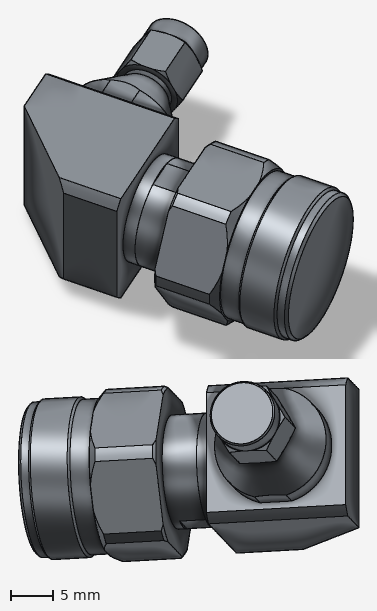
import cadquery as cq
import math


OVERALL_LENGTH = 39.7

BLOCK_SIDE = 16.95
BLOCK_HEIGHT = 16.87
BLOCK_HALF = BLOCK_SIDE / 2
CORNER_CUT = 9.95
CORNER_RADIUS = 11.2

BARREL_RADIUS = 6.8
FLAT_HALF_WIDTH = 6.5
COLLAR_LENGTH = 1.6

LARGE_START = BLOCK_HALF + COLLAR_LENGTH
LARGE_FLAT_LENGTH = 3.18
LARGE_NECK_LENGTH = 4.15
LARGE_NUT_LENGTH = 8.25
LARGE_NUT_FLATS = 18.85
LARGE_NUT_RADIUS = 10.45
LARGE_NUT_BACK_CHAMFER = 0.3
LARGE_NUT_FRONT_CHAMFER = 0.9
SLEEVE_RADIUS = 9.25
BAND_DIAMETER = 19.1
BAND_RADIUS = BAND_DIAMETER / 2
BAND_BEVEL = 0.28
BAND_OFFSET = 2.4
BAND_WIDTH = 5.05
SLEEVE_END_CHAMFER = 0.35
LARGE_END = OVERALL_LENGTH - BLOCK_HALF

SMALL_START = BLOCK_HALF
SMALL_BARREL_LENGTH = 2.98
SMALL_CONE_LENGTH = 5.3
SMALL_NECK_RADIUS = 3.2
SMALL_NECK_LENGTH = 0.7
SMALL_NUT_FLATS = 7.85
SMALL_NUT_LENGTH = 6.05
SMALL_NUT_CHAMFER = 0.3
SMALL_NUT_CHAMFER_ANGLE = 30.0
STUB_RADIUS = SMALL_NUT_FLATS / 2
STUB_CHAMFER = 0.2
SMALL_END = 26.2

LARGE_AXIS = cq.Plane(origin=(0, 0, 0), xDir=(0, 1, 0), normal=(1, 0, 0))
SMALL_AXIS = cq.Plane(origin=(0, 0, 0), xDir=(1, 0, 0), normal=(0, 1, 0))


def turned(axis, profile):
    """Solid of revolution about an axis, from (radius, distance along the axis) points."""
    first = (0, profile[0][1])
    last = (0, profile[-1][1])
    section = cq.Plane(origin=axis.origin, xDir=axis.xDir, normal=axis.xDir.cross(axis.zDir))
    outline = cq.Workplane(section).polyline([first, *profile, last]).close()
    return outline.revolve(360, (0, 0, 0), (0, 1, 0))


def hexagon_bar(axis, across_flats, start, length):
    """Hexagonal bar with two of its flats facing +Z and -Z."""
    across_corners = across_flats / math.cos(math.radians(30))
    return cq.Workplane(axis).workplane(offset=start).polygon(6, across_corners).extrude(length)


def cut_wrench_flats(body, axis, start, length):
    """Cut a pair of parallel flats, facing +Z and -Z, over a stretch of a barrel."""
    stretch = cq.Workplane(axis).workplane(offset=start)
    slab = stretch.rect(4 * BARREL_RADIUS, 4 * BARREL_RADIUS).extrude(length)
    kept = stretch.rect(4 * BARREL_RADIUS, 2 * FLAT_HALF_WIDTH).extrude(length)
    return body.cut(slab.cut(kept))


def make_elbow():
    """Block with its long corners turned off about X, a cut outer corner and a round collar on +X."""
    block = cq.Workplane("XY").box(BLOCK_SIDE, BLOCK_SIDE, BLOCK_HEIGHT)
    block = block.intersect(turned(LARGE_AXIS, [(CORNER_RADIUS, -BLOCK_HALF), (CORNER_RADIUS, BLOCK_HALF)]))
    corner = (
        cq.Workplane("XY", origin=(-BLOCK_HALF, -BLOCK_HALF, 0))
        .polyline([(0, 0), (CORNER_CUT, 0), (0, CORNER_CUT)])
        .close()
        .extrude(BLOCK_HEIGHT, both=True)
    )
    collar = turned(LARGE_AXIS, [(BARREL_RADIUS, BLOCK_HALF), (BARREL_RADIUS, LARGE_START)])
    return block.cut(corner).union(collar)


def make_large_connector():
    """Neck with wrench flats, coupling nut, and banded sleeve in one solid."""
    nut_back = LARGE_START + LARGE_NECK_LENGTH
    nut_front = nut_back + LARGE_NUT_LENGTH
    band_back = nut_front + BAND_OFFSET
    band_front = band_back + BAND_WIDTH

    neck = turned(LARGE_AXIS, [(BARREL_RADIUS, LARGE_START), (BARREL_RADIUS, nut_back)])
    neck = cut_wrench_flats(neck, LARGE_AXIS, LARGE_START, LARGE_FLAT_LENGTH)

    nut_envelope = turned(LARGE_AXIS, [
        (LARGE_NUT_RADIUS - LARGE_NUT_BACK_CHAMFER, nut_back),
        (LARGE_NUT_RADIUS, nut_back + LARGE_NUT_BACK_CHAMFER),
        (LARGE_NUT_RADIUS, nut_front - LARGE_NUT_FRONT_CHAMFER),
        (LARGE_NUT_RADIUS - LARGE_NUT_FRONT_CHAMFER, nut_front),
    ])
    nut = hexagon_bar(LARGE_AXIS, LARGE_NUT_FLATS, nut_back, LARGE_NUT_LENGTH).intersect(nut_envelope)

    sleeve = turned(LARGE_AXIS, [
        (SLEEVE_RADIUS, nut_front),
        (SLEEVE_RADIUS, band_back),
        (BAND_RADIUS, band_back + BAND_BEVEL),
        (BAND_RADIUS, band_front - BAND_BEVEL),
        (SLEEVE_RADIUS, band_front),
        (SLEEVE_RADIUS, LARGE_END - SLEEVE_END_CHAMFER),
        (SLEEVE_RADIUS - SLEEVE_END_CHAMFER, LARGE_END),
    ])
    return neck.union(nut).union(sleeve)


def make_small_connector():
    """Barrel with wrench flats tapering to a neck, hexagon nut and round stub in one solid."""
    cone_back = SMALL_START + SMALL_BARREL_LENGTH
    cone_front = cone_back + SMALL_CONE_LENGTH
    nut_back = cone_front + SMALL_NECK_LENGTH
    nut_front = nut_back + SMALL_NUT_LENGTH

    barrel = turned(SMALL_AXIS, [
        (BARREL_RADIUS, SMALL_START),
        (BARREL_RADIUS, cone_back),
        (SMALL_NECK_RADIUS, cone_front),
        (SMALL_NECK_RADIUS, nut_back),
    ])
    barrel = cut_wrench_flats(barrel, SMALL_AXIS, SMALL_START, cone_front - SMALL_START)

    corner_radius = SMALL_NUT_FLATS / 2 / math.cos(math.radians(30))
    face_radius = corner_radius - SMALL_NUT_CHAMFER / math.tan(math.radians(SMALL_NUT_CHAMFER_ANGLE))
    nut_envelope = turned(SMALL_AXIS, [
        (face_radius, nut_back),
        (corner_radius, nut_back + SMALL_NUT_CHAMFER),
        (corner_radius, nut_front - SMALL_NUT_CHAMFER),
        (face_radius, nut_front),
    ])
    nut = hexagon_bar(SMALL_AXIS, SMALL_NUT_FLATS, nut_back, SMALL_NUT_LENGTH).intersect(nut_envelope)

    stub = turned(SMALL_AXIS, [
        (STUB_RADIUS, nut_front),
        (STUB_RADIUS, SMALL_END - STUB_CHAMFER),
        (STUB_RADIUS - STUB_CHAMFER, SMALL_END),
    ])
    return barrel.union(nut).union(stub)


elbow = make_elbow()
large_connector = make_large_connector()
small_connector = make_small_connector()

result = cq.Compound.makeCompound([elbow.val(), large_connector.val(), small_connector.val()])